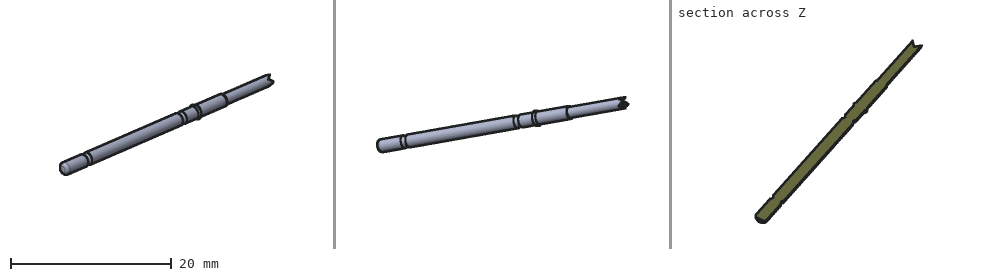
import cadquery as cq
import math

total_length = 35.4
barrel_radius = 0.832
plunger_radius = 0.7
plunger_length = 8.05
barrel_length = total_length - plunger_length

tail_round = 0.42

collar_radius = 1.0
collar_width = 0.53
collar_center = 22.65
collar_edge_radius = collar_width / 2

groove_centers = (3.9, 20.1)
groove_width = 0.67
groove_depth = 0.18

crown_depth = 0.7
crown_cut_angles = (45, 135)
cut_clearance = 0.35


def rod(radius, start, length):
    """Round bar on the Y axis, from start toward +Y."""
    plane = cq.Plane(origin=(0, start, 0), xDir=(1, 0, 0), normal=(0, 1, 0))
    return cq.Workplane(plane).circle(radius).extrude(length)


def crimp_groove(center):
    """Ring with a circular-arc bottom, removed from the barrel."""
    half_width = groove_width / 2
    outer = barrel_radius + cut_clearance
    return (
        cq.Workplane("XY")
        .moveTo(outer, center - half_width)
        .lineTo(barrel_radius, center - half_width)
        .threePointArc(
            (barrel_radius - groove_depth, center),
            (barrel_radius, center + half_width),
        )
        .lineTo(outer, center + half_width)
        .close()
        .revolve(360, (0, 0, 0), (0, 1, 0))
    )


def crown_cut(angle):
    """V-shaped prism across the plunger end, turned about the Y axis."""
    point_offset = plunger_radius * math.sin(math.radians(45))
    root = total_length - crown_depth
    top = total_length + cut_clearance
    half_opening = point_offset * (top - root) / crown_depth
    cut_length = 2 * (plunger_radius + cut_clearance)
    return (
        cq.Workplane("XY")
        .polyline([(0, root), (half_opening, top), (-half_opening, top)])
        .close()
        .extrude(cut_length / 2, both=True)
        .rotate((0, 0, 0), (0, 1, 0), angle)
    )


barrel = rod(barrel_radius, 0, barrel_length).faces("<Y").edges().fillet(tail_round)
for groove_center in groove_centers:
    barrel = barrel.cut(crimp_groove(groove_center))

ring_radius = collar_radius - collar_edge_radius
collar = (
    cq.Workplane("XY")
    .center(ring_radius, collar_center)
    .circle(collar_edge_radius)
    .revolve(360, (-ring_radius, 0, 0), (-ring_radius, 1, 0))
)

plunger = rod(plunger_radius, barrel_length, plunger_length)
for cut_angle in crown_cut_angles:
    plunger = plunger.cut(crown_cut(cut_angle))

result = barrel.union(collar).union(plunger)